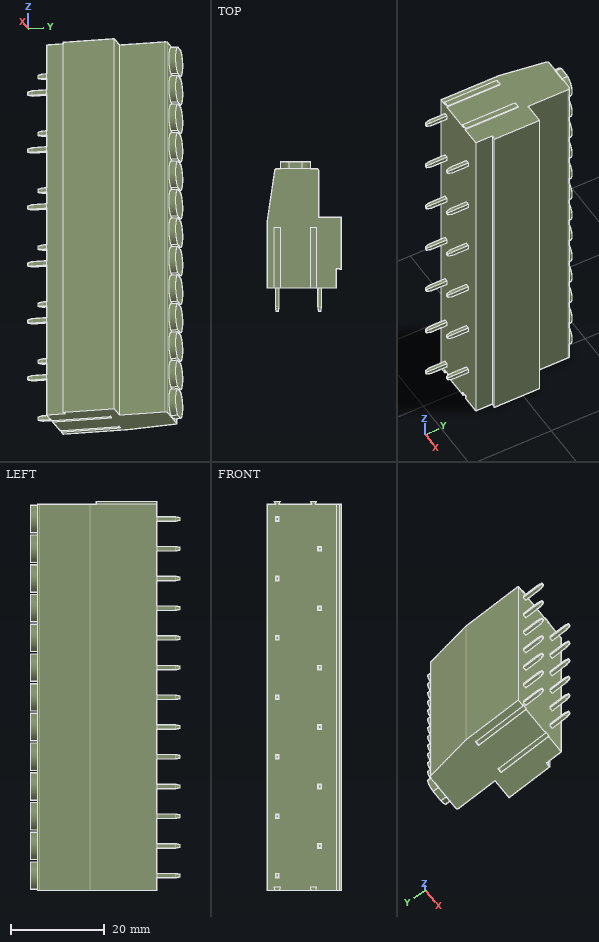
import cadquery as cq

poles = 13
total_height = 83.15
body_height = 82.6
pole_pitch = body_height / poles

body_width = 15.9
foot_width = 14.8
foot_depth = 4.1
lip_width = 0.4
lip_drop = 0.2
shelf_depth = 15.1
tower_right = 11.1
tower_left = 1.7
body_depth = 25.5
slope_start = 14.3
tower_edge_radius = 0.5

key_centres = (2.2, 9.9)
key_length = 13.0
key_tip_width = 1.3
key_root_width = 0.7
key_height = total_height - body_height
slot_clearance = 0.2

pin_columns = (2.2, 11.2)
pin_width = 0.8
pin_thickness = 1.0
pin_length = 5.0
pin_taper_length = 1.0
pin_tip_scale = 0.6

screw_x = 6.1
screw_diameter = 6.5
screw_across_flats = 5.9
screw_height = 1.5


def make_body():
    outline = [
        (0, 0),
        (foot_width, 0),
        (foot_width, foot_depth),
        (body_width - lip_width, foot_depth),
        (body_width, foot_depth - lip_drop),
        (body_width, shelf_depth),
        (tower_right, shelf_depth),
        (tower_right, body_depth),
        (tower_left, body_depth),
        (0, slope_start),
    ]
    body = cq.Workplane("XY").polyline(outline).close().extrude(body_height)
    return body.faces(">Y").edges("|Z").fillet(tower_edge_radius)


def dovetail(centre_x, base_z, clearance):
    """Dovetail bar along Y, narrow at base_z and widening upwards."""
    half_root = key_root_width / 2 + clearance
    half_tip = key_tip_width / 2
    tip_z = base_z + key_height + clearance
    section = [
        (centre_x - half_root, base_z),
        (centre_x + half_root, base_z),
        (centre_x + half_tip, tip_z),
        (centre_x - half_tip, tip_z),
    ]
    return cq.Workplane("XZ").polyline(section).close().extrude(-key_length)


def make_pin(centre_x, centre_z):
    shank_length = pin_length - pin_taper_length
    shank = (
        cq.Workplane("XZ")
        .center(centre_x, centre_z)
        .rect(pin_width, pin_thickness)
        .extrude(shank_length)
    )
    tip = (
        cq.Workplane("XZ", origin=(centre_x, -shank_length, centre_z))
        .rect(pin_width, pin_thickness)
        .workplane(offset=pin_taper_length)
        .rect(pin_width * pin_tip_scale, pin_thickness * pin_tip_scale)
        .loft()
    )
    return shank.union(tip)


def make_screw_head(centre_z):
    plane = cq.Workplane("XZ", origin=(screw_x, body_depth, centre_z))
    disc = plane.circle(screw_diameter / 2).extrude(-screw_height)
    flats = plane.rect(screw_diameter, screw_across_flats).extrude(-screw_height)
    return disc.intersect(flats)


result = make_body()

for key_x in key_centres:
    result = result.union(dovetail(key_x, body_height, 0))
    result = result.cut(dovetail(key_x, 0, slot_clearance))

for pole in range(poles):
    pole_z = (pole + 0.5) * pole_pitch
    result = result.union(make_pin(pin_columns[pole % 2], pole_z))
    result = result.union(make_screw_head(pole_z))